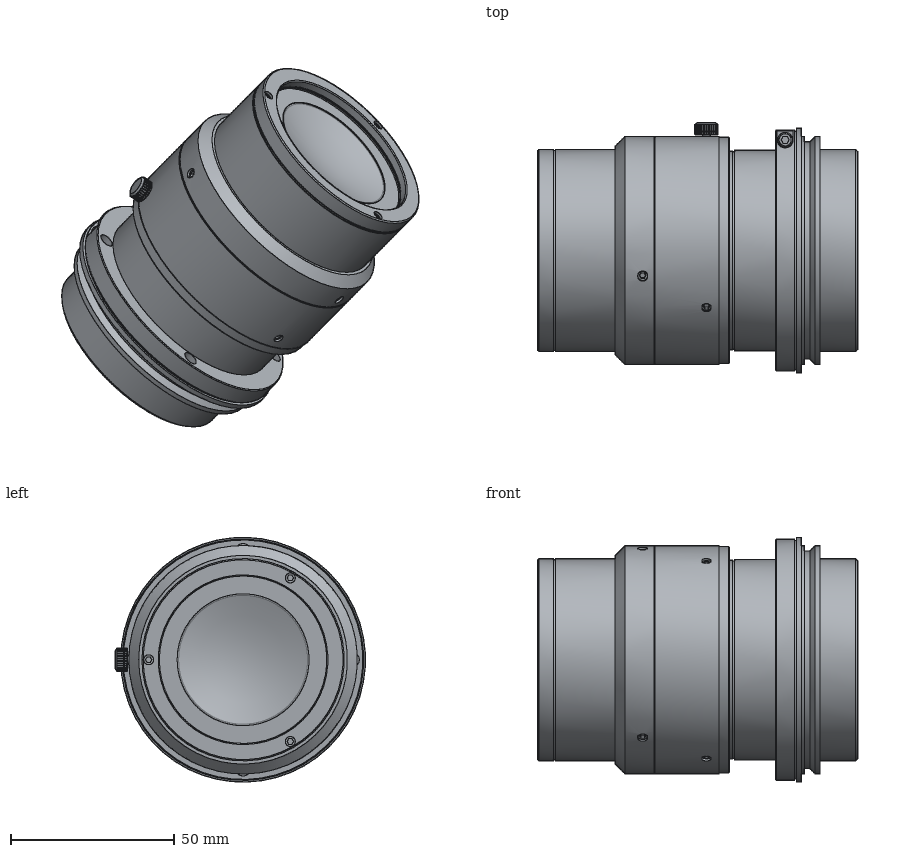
import cadquery as cq
import math

length = 98.1
width = 76.7

barrel_radius = 31.0
barrel_chamfer = 0.4
rear_chamfer = 0.7
filter_ring_end = 4.8
filter_groove_width = 0.6
filter_groove_depth = 0.3

body_radius = 35.0
body_start = 23.7
body_nose_radius = 32.0
aperture_line = 35.7
aperture_line_size = 0.3
body_end = 55.6
retainer_radius = 34.7
retainer_end = 58.7
retainer_chamfer = 0.3
neck_radius = 30.5
neck_step = 59.6
neck_groove_radius = 30.3
neck_end = 60.3
middle_barrel_radius = 30.8

clamp_start = 72.9
clamp_end = 78.7
clamp_radius = 37.0
clamp_chamfer = 0.3
gap_end = 79.2
gap_radius = 36.6
flange_diameter = 75.0
flange_radius = flange_diameter / 2
flange_end = 80.8
spacer_end = 81.7
dovetail_neck_radius = 33.3
dovetail_neck_end = 83.4
dovetail_end = 86.5

recess_mouth_diameter = 52.0
recess_diameter = 51.3
recess_groove_start = 2.7
recess_groove_end = 3.1
floor_depth = 3.6
lens_seat_diameter = 40.4
lens_seat_depth = 0.3
lens_diameter = 39.5
lens_sag = 3.6

set_screw_hole_diameter = 3.0
set_screw_hole_depth = 0.8
socket_size = 2.0
socket_depth = 1.0
front_screw_circle = 28.9
front_screw_angles = (0, 120, 240)
aperture_screw_x = 32.2
aperture_screw_angles = (103, 223, 343)
body_screw_x = 51.7
body_screw_angles = (120, 240)
body_screw_hole_diameter = 2.8
mount_hole_circle = 33.3
mount_hole_diameter = 4.5
mount_hole_depth = 2.9
mount_hole_count = 4

clamp_screw_y = 33.9
clamp_pocket_width = 4.9
clamp_pocket_floor = 5.4
clamp_screw_head_diameter = 4.5
clamp_screw_head_height = 2.5
clamp_screw_chamfer = 0.4
clamp_socket_size = 2.5
clamp_socket_depth = 1.5

thumb_tip = width - flange_radius
thumb_base = 35.4
thumb_radius = 3.6
thumb_tip_radius = 2.7
thumb_tip_height = 0.6
thumb_groove_y = 36.3
thumb_groove_width = 0.3
thumb_groove_depth = 0.3
thumb_base_chamfer = 0.3
thumb_shaft_diameter = 2.5
thumb_shaft_embed = 1.0
flute_count = 30
flute_diameter = 0.5


def lens_body():
    """Full revolved outline, including the front recess and the lens dish."""
    groove_end = filter_ring_end + filter_groove_width
    groove_radius = barrel_radius - filter_groove_depth
    nose_end = body_start + body_radius - body_nose_radius
    line_end = aperture_line + aperture_line_size
    line_radius = body_radius - aperture_line_size
    cone_end = dovetail_neck_end + body_radius - dovetail_neck_radius
    mouth_chamfer = (recess_mouth_diameter - recess_diameter) / 2
    lens_radius = lens_diameter / 2
    dish_radius = (lens_radius**2 + lens_sag**2) / (2 * lens_sag)
    dish_rim = floor_depth + lens_seat_depth
    dish_bottom = dish_rim + lens_sag
    dish_mid_radius = lens_radius / 2
    dish_mid = dish_bottom - dish_radius + math.sqrt(dish_radius**2 - dish_mid_radius**2)

    outline = (
        cq.Workplane("XY")
        .moveTo(dish_bottom, 0)
        .threePointArc((dish_mid, dish_mid_radius), (dish_rim, lens_radius))
        .lineTo(dish_rim, lens_seat_diameter / 2)
        .lineTo(floor_depth, lens_seat_diameter / 2)
        .lineTo(floor_depth, recess_diameter / 2)
        .lineTo(recess_groove_end, recess_diameter / 2)
        .lineTo(recess_groove_end, recess_mouth_diameter / 2)
        .lineTo(recess_groove_start, recess_mouth_diameter / 2)
        .lineTo(recess_groove_start, recess_diameter / 2)
        .lineTo(mouth_chamfer, recess_diameter / 2)
        .lineTo(0, recess_mouth_diameter / 2)
        .lineTo(0, barrel_radius - barrel_chamfer)
        .lineTo(barrel_chamfer, barrel_radius)
        .lineTo(filter_ring_end, barrel_radius)
        .lineTo(filter_ring_end, groove_radius)
        .lineTo(groove_end, groove_radius)
        .lineTo(groove_end, barrel_radius)
        .lineTo(body_start, barrel_radius)
        .lineTo(body_start, body_nose_radius)
        .lineTo(nose_end, body_radius)
        .lineTo(aperture_line, body_radius)
        .lineTo(aperture_line, line_radius)
        .lineTo(line_end, line_radius)
        .lineTo(line_end, body_radius)
        .lineTo(body_end, body_radius)
        .lineTo(body_end, retainer_radius)
        .lineTo(retainer_end - retainer_chamfer, retainer_radius)
        .lineTo(retainer_end, retainer_radius - retainer_chamfer)
        .lineTo(retainer_end, neck_radius)
        .lineTo(neck_step, neck_radius)
        .lineTo(neck_step, neck_groove_radius)
        .lineTo(neck_end, neck_groove_radius)
        .lineTo(neck_end, middle_barrel_radius)
        .lineTo(clamp_start, middle_barrel_radius)
        .lineTo(clamp_start, clamp_radius - clamp_chamfer)
        .lineTo(clamp_start + clamp_chamfer, clamp_radius)
        .lineTo(clamp_end, clamp_radius)
        .lineTo(clamp_end, gap_radius)
        .lineTo(gap_end, gap_radius)
        .lineTo(gap_end, flange_radius)
        .lineTo(flange_end, flange_radius)
        .lineTo(flange_end, body_radius)
        .lineTo(spacer_end, body_radius)
        .lineTo(spacer_end, dovetail_neck_radius)
        .lineTo(dovetail_neck_end, dovetail_neck_radius)
        .lineTo(cone_end, body_radius)
        .lineTo(dovetail_end, body_radius)
        .lineTo(dovetail_end, barrel_radius)
        .lineTo(length - rear_chamfer, barrel_radius)
        .lineTo(length, barrel_radius - rear_chamfer)
        .lineTo(length, 0)
        .close()
    )
    return outline.revolve(360, (0, 0, 0), (1, 0, 0))


def set_screw_cut(plane, diameter):
    """Shallow round hole with a hexagonal socket in its floor."""
    hole = cq.Workplane(plane).circle(diameter / 2).extrude(-set_screw_hole_depth)
    socket = cq.Workplane(plane).polygon(6, socket_size).extrude(-set_screw_hole_depth - socket_depth)
    return hole.union(socket)


def radial_plane(x, angle):
    """Plane on the body surface, facing outward; angle runs from +Y toward +Z."""
    out = cq.Vector(0, math.cos(math.radians(angle)), math.sin(math.radians(angle)))
    origin = out * body_radius + cq.Vector(x, 0, 0)
    return cq.Plane(origin=origin, xDir=(1, 0, 0), normal=out)


def front_screw_cuts():
    """Set screws in the front face."""
    cuts = cq.Workplane("XY")
    for angle in front_screw_angles:
        y = front_screw_circle * math.cos(math.radians(angle))
        z = front_screw_circle * math.sin(math.radians(angle))
        plane = cq.Plane(origin=(0, y, z), xDir=(0, 1, 0), normal=(-1, 0, 0))
        cuts = cuts.add(set_screw_cut(plane, set_screw_hole_diameter))
    return cuts.combine()


def mount_hole_cuts():
    """Evenly spaced blind holes in the front face of the clamp ring."""
    face = cq.Workplane("YZ", origin=(clamp_start, 0, 0))
    centers = face.polarArray(mount_hole_circle, 0, 360, mount_hole_count)
    return centers.circle(mount_hole_diameter / 2).extrude(mount_hole_depth)


def clamp_screw_pocket(x):
    """U-shaped pocket from the floor upward, open toward +Y."""
    half = clamp_pocket_width / 2
    open_edge = clamp_radius - clamp_screw_y
    floor = cq.Workplane("XY", origin=(x, clamp_screw_y, clamp_pocket_floor))
    return (
        floor.moveTo(-half, 0)
        .threePointArc((0, -half), (half, 0))
        .lineTo(half, open_edge)
        .lineTo(-half, open_edge)
        .close()
        .extrude(clamp_radius)
    )


def clamp_screw_head(x):
    """Chamfered screw head with a hexagonal socket, standing on the pocket floor."""
    floor = cq.Workplane("XY", origin=(x, clamp_screw_y, clamp_pocket_floor))
    head = floor.circle(clamp_screw_head_diameter / 2).extrude(clamp_screw_head_height)
    head = head.faces(">Z").chamfer(clamp_screw_chamfer)
    return head.faces(">Z").workplane().polygon(6, clamp_socket_size).cutBlind(-clamp_socket_depth)


def thumb_screw():
    """Fluted thumb screw with a waist groove and conical tip, standing on a thin shaft."""
    shaft_radius = thumb_shaft_diameter / 2
    groove_radius = thumb_radius - thumb_groove_depth
    groove_end = thumb_groove_y + thumb_groove_width
    shoulder = thumb_tip - thumb_tip_height
    shaft_root = body_radius - thumb_shaft_embed
    screw = (
        cq.Workplane("XY")
        .moveTo(0, shaft_root)
        .lineTo(shaft_radius, shaft_root)
        .lineTo(shaft_radius, thumb_base)
        .lineTo(thumb_radius - thumb_base_chamfer, thumb_base)
        .lineTo(thumb_radius, thumb_base + thumb_base_chamfer)
        .lineTo(thumb_radius, thumb_groove_y)
        .lineTo(groove_radius, thumb_groove_y)
        .lineTo(groove_radius, groove_end)
        .lineTo(thumb_radius, groove_end)
        .lineTo(thumb_radius, shoulder)
        .lineTo(thumb_tip_radius, thumb_tip)
        .lineTo(0, thumb_tip)
        .close()
        .revolve(360, (0, 0, 0), (0, 1, 0))
    )
    flutes = (
        cq.Workplane("XZ", origin=(0, shoulder, 0))
        .polarArray(thumb_radius, 0, 360, flute_count)
        .circle(flute_diameter / 2)
        .extrude(shoulder - thumb_base)
    )
    return screw.cut(flutes).translate((body_screw_x, 0, 0))


clamp_screw_x = (clamp_start + clamp_end) / 2

result = lens_body().cut(front_screw_cuts())
for screw_angle in aperture_screw_angles:
    result = result.cut(set_screw_cut(radial_plane(aperture_screw_x, screw_angle), set_screw_hole_diameter))
for screw_angle in body_screw_angles:
    result = result.cut(set_screw_cut(radial_plane(body_screw_x, screw_angle), body_screw_hole_diameter))
result = result.cut(mount_hole_cuts())
result = result.cut(clamp_screw_pocket(clamp_screw_x)).union(clamp_screw_head(clamp_screw_x))
result = result.union(thumb_screw())